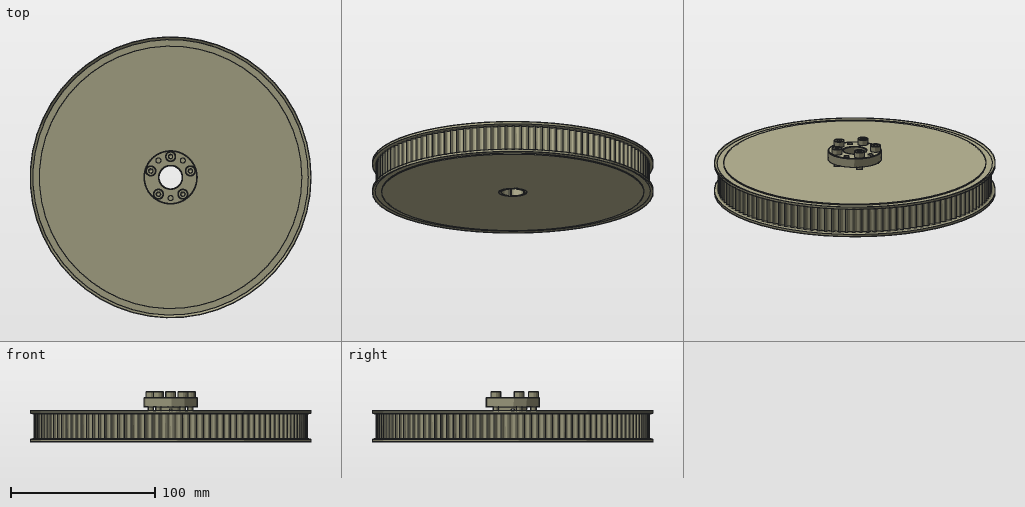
import cadquery as cq
import math

TOOTH_COUNT = 120
TIP_RADIUS = 95.0
GROOVE_RADIUS = 1.8
TOOTH_CORNER_RADIUS = 0.4

PULLEY_HEIGHT = 21.8
SEAT_RADIUS = 91.0

FLANGE_RADIUS = 97.5
FLANGE_THICKNESS = 1.5
LIP_RISE = 0.8
LIP_WIDTH = 2.0
LIP_EDGE_HEIGHT = 1.8
SEAT_DEPTH = FLANGE_THICKNESS + LIP_RISE

HUB_RADIUS = 18.5
HUB_THICKNESS = 6.5
HUB_GAP = 2.5
HUB_CHAMFER = 0.4
HUB_BOTTOM = PULLEY_HEIGHT + HUB_GAP
HUB_TOP = HUB_BOTTOM + HUB_THICKNESS
BORE_RADIUS = 8.0
BORE_CHAMFER = 0.4
SLEEVE_RADIUS = 9.8
SLEEVE_FILLET = 0.5
SLIT_WIDTH = 1.8
SLIT_TOP = HUB_BOTTOM - 1.5

SCREW_COUNT = 5
BOLT_CIRCLE_RADIUS = 14.5
FIRST_SCREW_ANGLE = 90
SCREW_ANGLES = [FIRST_SCREW_ANGLE + i * 360 / SCREW_COUNT for i in range(SCREW_COUNT)]
JACK_HOLE_ANGLES = [54, 126, 270]
JACK_HOLE_RADIUS = 1.8
SHANK_RADIUS = 2.0
SHANK_DEPTH_IN_PULLEY = 9.8
SHANK_BOTTOM = PULLEY_HEIGHT - SHANK_DEPTH_IN_PULLEY
HEAD_RADIUS = 3.5
HEAD_HEIGHT = 4.0
HEAD_CHAMFER = 0.4
SOCKET_WIDTH = 3.0
SOCKET_DEPTH = 2.0
SOCKET_POINT_DEPTH = 0.8


def bolt_circle_points(angles):
    """Points on the bolt circle at the given angles in degrees."""
    return [
        (BOLT_CIRCLE_RADIUS * math.cos(math.radians(a)), BOLT_CIRCLE_RADIUS * math.sin(math.radians(a)))
        for a in angles
    ]


def cylinder(radius, bottom, top):
    """Upright cylinder on the Z axis."""
    return cq.Workplane("XY").workplane(offset=bottom).circle(radius).extrude(top - bottom)


def posts(angles, radius, bottom, top):
    """Upright cylinders on the bolt circle."""
    plane = cq.Workplane("XY").workplane(offset=bottom)
    return plane.pushPoints(bolt_circle_points(angles)).circle(radius).extrude(top - bottom)


def toothed_outline():
    """Closed outline of the rim: semicircular grooves between lands with rounded corners."""
    pitch_angle = 2 * math.pi / TOOTH_COUNT
    groove_centre = TIP_RADIUS - TOOTH_CORNER_RADIUS
    groove_bottom = groove_centre - GROOVE_RADIUS
    corner_offset = TOOTH_CORNER_RADIUS * math.sqrt(0.5)
    land_start = GROOVE_RADIUS + TOOTH_CORNER_RADIUS
    land_radius = math.hypot(land_start, TIP_RADIUS)

    def place(side, radial, angle):
        """Turn a point, given beside a groove's centre line, to that groove's angle."""
        return (
            radial * math.cos(angle) - side * math.sin(angle),
            radial * math.sin(angle) + side * math.cos(angle),
        )

    outline = cq.Workplane("XY").workplane(offset=SEAT_DEPTH).moveTo(*place(-land_start, TIP_RADIUS, 0))
    for i in range(TOOTH_COUNT):
        angle = i * pitch_angle
        outline = (
            outline
            .threePointArc(
                place(corner_offset - land_start, groove_centre + corner_offset, angle),
                place(-GROOVE_RADIUS, groove_centre, angle),
            )
            .threePointArc(
                place(0, groove_bottom, angle),
                place(GROOVE_RADIUS, groove_centre, angle),
            )
            .threePointArc(
                place(land_start - corner_offset, groove_centre + corner_offset, angle),
                place(land_start, TIP_RADIUS, angle),
            )
            .threePointArc(
                place(0, land_radius, angle + pitch_angle / 2),
                place(-land_start, TIP_RADIUS, angle + pitch_angle),
            )
        )
    return outline.close()


def make_pulley():
    """Wheel with teeth between the flange seats, a bore for the sleeve and blind screw holes."""
    wheel = cylinder(SEAT_RADIUS, 0, PULLEY_HEIGHT)
    rim = toothed_outline().extrude(PULLEY_HEIGHT - 2 * SEAT_DEPTH)
    bore = cylinder(SLEEVE_RADIUS, 0, PULLEY_HEIGHT)
    screw_holes = posts(SCREW_ANGLES, SHANK_RADIUS, SHANK_BOTTOM, PULLEY_HEIGHT)
    return wheel.union(rim).cut(bore).cut(screw_holes)


def make_upper_flange():
    """Flat ring on the upper seat, with its lip bent up to the pulley's top face."""
    seat = PULLEY_HEIGHT - SEAT_DEPTH
    bend_radius = FLANGE_RADIUS - LIP_WIDTH
    profile = [
        (SEAT_RADIUS, seat),
        (bend_radius, seat),
        (FLANGE_RADIUS, PULLEY_HEIGHT - LIP_EDGE_HEIGHT),
        (FLANGE_RADIUS, PULLEY_HEIGHT),
        (bend_radius, seat + FLANGE_THICKNESS),
        (SEAT_RADIUS, seat + FLANGE_THICKNESS),
    ]
    return cq.Workplane("XZ").polyline(profile).close().revolve(360, (0, 0, 0), (0, 1, 0))


def make_lower_flange():
    """Mirror image of the upper flange about the pulley's middle plane."""
    return make_upper_flange().mirror("XY", (0, 0, PULLEY_HEIGHT / 2))


def make_hub():
    """Turned disc and sleeve with a filleted corner and chamfered bore, slit crosswise and drilled."""
    body = (
        cq.Workplane("XZ")
        .moveTo(BORE_RADIUS, 0)
        .lineTo(SLEEVE_RADIUS, 0)
        .lineTo(SLEEVE_RADIUS, HUB_BOTTOM - SLEEVE_FILLET)
        .radiusArc((SLEEVE_RADIUS + SLEEVE_FILLET, HUB_BOTTOM), SLEEVE_FILLET)
        .lineTo(HUB_RADIUS, HUB_BOTTOM)
        .lineTo(HUB_RADIUS, HUB_TOP - HUB_CHAMFER)
        .lineTo(HUB_RADIUS - HUB_CHAMFER, HUB_TOP)
        .lineTo(BORE_RADIUS + BORE_CHAMFER, HUB_TOP)
        .lineTo(BORE_RADIUS, HUB_TOP - BORE_CHAMFER)
        .close()
        .revolve(360, (0, 0, 0), (0, 1, 0))
    )
    slit = cq.Workplane("XY").box(2 * HUB_RADIUS, SLIT_WIDTH, SLIT_TOP, centered=(True, True, False))
    cross_slit = slit.rotate((0, 0, 0), (0, 0, 1), 90)
    screw_holes = posts(SCREW_ANGLES, SHANK_RADIUS, HUB_BOTTOM, HUB_TOP)
    jack_holes = posts(JACK_HOLE_ANGLES, JACK_HOLE_RADIUS, HUB_BOTTOM, HUB_TOP)
    return body.cut(slit).cut(cross_slit).cut(screw_holes).cut(jack_holes)


def make_screw(angle):
    """Hex socket head screw at one place on the bolt circle."""
    shank = cylinder(SHANK_RADIUS, SHANK_BOTTOM, HUB_TOP)
    head = cylinder(HEAD_RADIUS, HUB_TOP, HUB_TOP + HEAD_HEIGHT).faces(">Z").edges().chamfer(HEAD_CHAMFER)
    socket_floor = HUB_TOP + HEAD_HEIGHT - SOCKET_DEPTH
    socket_diameter = SOCKET_WIDTH / math.cos(math.pi / 6)
    socket = cq.Workplane("XY").workplane(offset=socket_floor).polygon(6, socket_diameter).extrude(SOCKET_DEPTH)
    drill_point = cq.Workplane(
        cq.Solid.makeCone(
            0, SOCKET_WIDTH / 2, SOCKET_POINT_DEPTH, pnt=cq.Vector(0, 0, socket_floor - SOCKET_POINT_DEPTH)
        )
    )
    screw = shank.union(head).cut(socket).cut(drill_point).translate((BOLT_CIRCLE_RADIUS, 0, 0))
    return screw.rotate((0, 0, 0), (0, 0, 1), angle)


pulley = make_pulley()
upper_flange = make_upper_flange()
lower_flange = make_lower_flange()
hub = make_hub()
screws = [make_screw(angle) for angle in SCREW_ANGLES]

result = cq.Compound.makeCompound([
    pulley.val(),
    upper_flange.val(),
    lower_flange.val(),
    hub.val(),
    *[screw.val() for screw in screws],
])